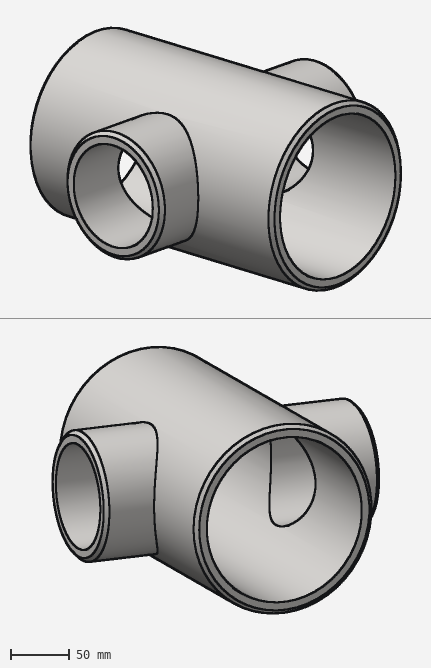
import cadquery as cq

main_length = 285.5
main_outer_diameter = 168.2
main_inner_diameter = 146.5

branch_length = 260.0
branch_outer_diameter = 114.2
branch_inner_diameter = 92.5

bevel = 3.7


def centred_cylinder(plane, diameter, length):
    """Cylinder along the plane's normal, centred on the origin."""
    return cq.Workplane(plane).circle(diameter / 2).extrude(length / 2, both=True)


def bevelled_cylinder(plane, diameter, length, end_faces):
    """Centred cylinder with both end rims bevelled."""
    return centred_cylinder(plane, diameter, length).faces(end_faces).chamfer(bevel)


main_body = bevelled_cylinder("YZ", main_outer_diameter, main_length, "<X or >X")
branch_body = bevelled_cylinder("XZ", branch_outer_diameter, branch_length, "<Y or >Y")

main_bore = centred_cylinder("YZ", main_inner_diameter, main_length)
branch_bore = centred_cylinder("XZ", branch_inner_diameter, branch_length)

result = main_body.union(branch_body).cut(main_bore).cut(branch_bore)